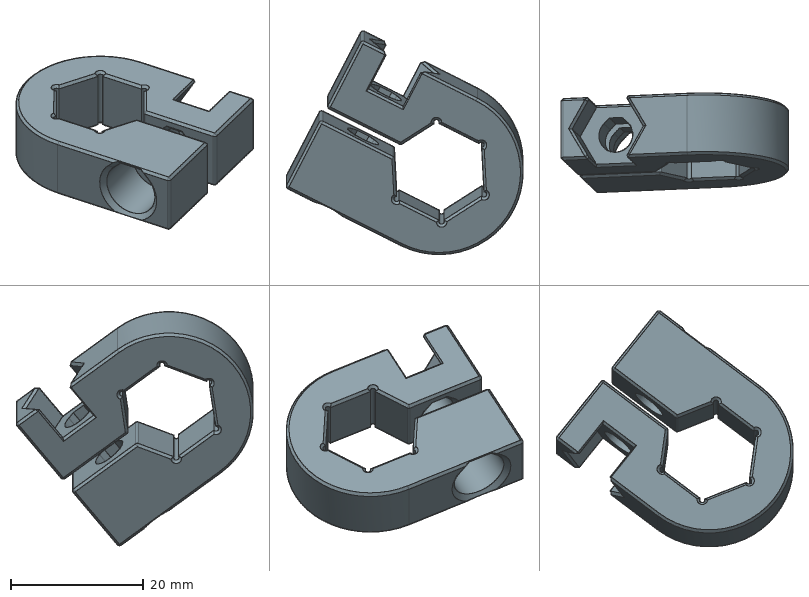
import cadquery as cq
import math

HEIGHT = 9.525
WIDTH = 25.4
ARM_LENGTH = 19.558
OUTER_RADIUS = WIDTH / 2
EDGE_CHAMFER = 0.4
CORNER_FILLET = 0.41

OPENING_ACROSS_FLATS = 13.2
OPENING_CORNER_RADIUS = OPENING_ACROSS_FLATS / math.sqrt(3)
RELIEF_RADIUS = 0.4
RELIEF_COUNT = 5
CORNER_SPACING = 60
GAP_WIDTH = 2.1
ARM_THICKNESS = (WIDTH - GAP_WIDTH) / 2

SCREW_X = 12.32
SCREW_LEAD_IN = 0.78
BORE_RADIUS = 2.6
BORE_PEAK = 2.7
HEAD_RADIUS = 4.2
HEAD_PEAK = 4.16
HEAD_DEPTH = 8.5
NUT_ACROSS_FLATS = HEIGHT
NUT_CORNER_RADIUS = NUT_ACROSS_FLATS / math.sqrt(3)
NUT_DEPTH = 6.2


def screw_plane(y):
    """Sketch plane on the screw axis at the given Y, with its normal toward +Y."""
    return cq.Workplane(cq.Plane(origin=(SCREW_X, y, 0), xDir=(-1, 0, 0), normal=(0, 1, 0)))


def teardrop(workplane, radius, peak):
    """Circle whose upper part is closed by two 45 degree tangents and a flat at height peak."""
    tangent = radius / math.sqrt(2)
    half_flat = radius * math.sqrt(2) - peak
    return (
        workplane.moveTo(tangent, tangent)
        .lineTo(half_flat, peak)
        .lineTo(-half_flat, peak)
        .lineTo(-tangent, tangent)
        .threePointArc((0, -radius), (tangent, tangent))
        .close()
    )


def make_block():
    return (
        cq.Workplane("XY")
        .workplane(offset=-HEIGHT / 2)
        .moveTo(0, OUTER_RADIUS)
        .threePointArc((-OUTER_RADIUS, 0), (0, -OUTER_RADIUS))
        .lineTo(ARM_LENGTH, -OUTER_RADIUS)
        .lineTo(ARM_LENGTH, OUTER_RADIUS)
        .close()
        .extrude(HEIGHT)
    )


def make_opening():
    """Hexagonal opening, relief holes at its closed corners, and the gap between the arms."""
    base = cq.Workplane("XY").workplane(offset=-HEIGHT / 2)
    hexagon = base.polygon(6, 2 * OPENING_CORNER_RADIUS).extrude(HEIGHT)
    relief_span = CORNER_SPACING * (RELIEF_COUNT - 1)
    reliefs = (
        base.polarArray(OPENING_CORNER_RADIUS, CORNER_SPACING, relief_span, RELIEF_COUNT)
        .circle(RELIEF_RADIUS)
        .extrude(HEIGHT)
    )
    gap = base.center(ARM_LENGTH / 2, 0).rect(ARM_LENGTH, GAP_WIDTH).extrude(HEIGHT)
    return hexagon.union(reliefs).union(gap)


def make_nut_pocket():
    """Hexagonal pocket as tall as the block, entered from the +Y side."""
    return screw_plane(OUTER_RADIUS - NUT_DEPTH).polygon(6, 2 * NUT_CORNER_RADIUS).extrude(NUT_DEPTH)


def make_screw_hole(entry_y, depth, radius, peak):
    """Teardrop hole running toward +Y from entry_y, with a 45 degree lead-in at its entry."""
    entry = screw_plane(entry_y)
    straight = teardrop(entry, radius, peak).extrude(depth)
    lead_in = teardrop(entry, radius + SCREW_LEAD_IN, peak + SCREW_LEAD_IN)
    return straight.union(lead_in.extrude(SCREW_LEAD_IN, taper=45))


def make_head_counterbore():
    return make_screw_hole(-OUTER_RADIUS, HEAD_DEPTH, HEAD_RADIUS, HEAD_PEAK)


def make_near_arm_bore():
    """Plain bore through the arm on the -Y side."""
    return teardrop(screw_plane(-OUTER_RADIUS), BORE_RADIUS, BORE_PEAK).extrude(ARM_THICKNESS)


def make_far_arm_bore():
    """Bore through the arm on the +Y side, with its lead-in on the gap face."""
    return make_screw_hole(GAP_WIDTH / 2, ARM_THICKNESS, BORE_RADIUS, BORE_PEAK)


def round_arm_corners(body):
    """Fillet the upright edges at the arm ends and where the hexagon meets the gap."""
    gap_mouth_x = OPENING_CORNER_RADIUS - GAP_WIDTH / 2 / math.sqrt(3)
    arm_ends = cq.selectors.BoxSelector(
        (gap_mouth_x - CORNER_FILLET, -WIDTH, -HEIGHT),
        (ARM_LENGTH + CORNER_FILLET, WIDTH, HEIGHT),
    )
    return body.edges("|Z").edges(arm_ends).fillet(CORNER_FILLET)


result = round_arm_corners(make_block().cut(make_opening()))
result = result.cut(make_nut_pocket())
result = result.faces(">Z or <Z or >Y").edges().chamfer(EDGE_CHAMFER)
result = result.cut(make_head_counterbore())
result = result.cut(make_near_arm_bore())
result = result.cut(make_far_arm_bore())